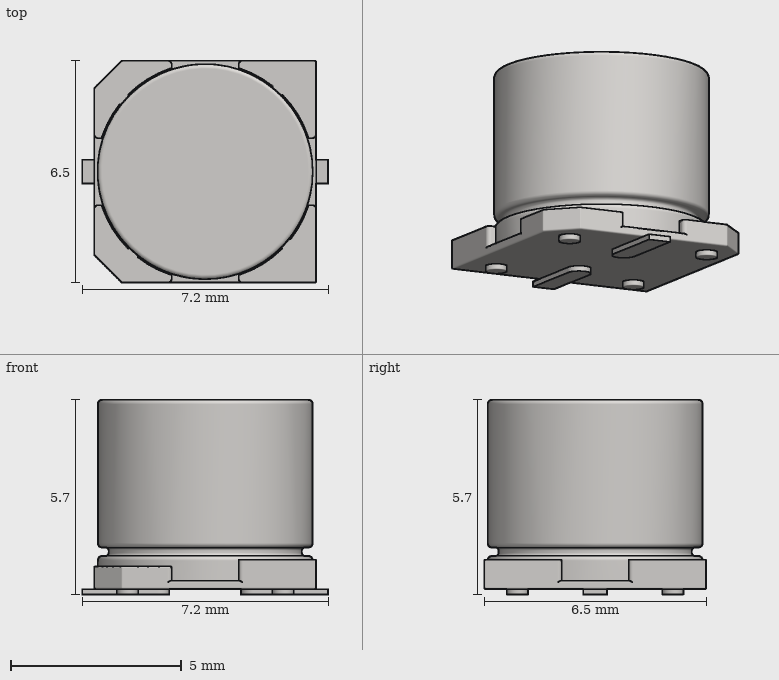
import cadquery as cq
import math

LENGTH = 7.2
BASE_SIDE = 6.5
HEIGHT = 5.7

FOOT_HEIGHT = 0.16
LEAD_WIDTH = 0.7
LEAD_INNER_END = 1.045
PEG_DIAMETER = 0.63
PEG_OFFSET = 2.275
PEG_ROUND = 0.02

FLOOR_Z = 0.4
LOW_POST_Z = 0.82
HIGH_POST_Z = 1.02
CORNER_CHAMFER = 0.81
NOTCH_WIDTH = 1.96
NOTCH_ROUND = 0.12
EDGE_ROUND = 0.05
POST_TOP_ROUND = 0.035

CAN_DIAMETER = 6.3
GROOVE_DIAMETER = 5.67
RIM_ROUND = 0.13
GROOVE_CENTER_Z = 1.25
GROOVE_FLAT = 0.06
GROOVE_ROUND = 0.09

half_side = BASE_SIDE / 2
can_radius = CAN_DIAMETER / 2
groove_radius = GROOVE_DIAMETER / 2


def make_slab():
    """Square floor of the base with the two -X corners cut off."""
    slab = (
        cq.Workplane("XY")
        .workplane(offset=FOOT_HEIGHT)
        .rect(BASE_SIDE, BASE_SIDE)
        .extrude(FLOOR_Z - FOOT_HEIGHT)
    )
    slab = slab.edges("|Z and <X").chamfer(CORNER_CHAMFER)
    slab = slab.edges("|Z").fillet(EDGE_ROUND)
    return slab.faces("<Z or >Z").edges().fillet(EDGE_ROUND)


def make_post(top_z, chamfered):
    """Corner post in the +X +Y quadrant, hollowed to hug the can."""
    post_bottom_z = (FOOT_HEIGHT + FLOOR_Z) / 2
    wall = NOTCH_WIDTH / 2
    bore_end = math.sqrt(can_radius**2 - wall**2)
    bore_middle = can_radius / math.sqrt(2)
    round_start = half_side - NOTCH_ROUND
    round_end = wall + NOTCH_ROUND
    chamfer_start = half_side - CORNER_CHAMFER

    outline = (
        cq.Workplane("XY")
        .workplane(offset=post_bottom_z)
        .moveTo(wall, bore_end)
        .lineTo(wall, round_start)
        .radiusArc((round_end, half_side), NOTCH_ROUND)
    )
    if chamfered:
        outline = outline.lineTo(chamfer_start, half_side).lineTo(half_side, chamfer_start)
    else:
        outline = outline.lineTo(half_side, half_side)
    outline = (
        outline.lineTo(half_side, round_end)
        .radiusArc((round_start, wall), NOTCH_ROUND)
        .lineTo(bore_end, wall)
        .threePointArc((bore_middle, bore_middle), (wall, bore_end))
        .close()
    )
    post = outline.extrude(top_z - post_bottom_z)
    post = post.edges("|Z").edges(">(1, 1, 0)").fillet(EDGE_ROUND)
    return post.faces(">Z").edges().fillet(POST_TOP_ROUND)


def make_can():
    """Round can with a rounded top rim and a beaded groove near the base."""
    flat_top = GROOVE_CENTER_Z + GROOVE_FLAT / 2
    flat_bottom = GROOVE_CENTER_Z - GROOVE_FLAT / 2
    groove_top = flat_top + GROOVE_ROUND
    groove_bottom = flat_bottom - GROOVE_ROUND
    lip_radius = can_radius - RIM_ROUND
    root_radius = groove_radius + GROOVE_ROUND
    profile = (
        cq.Workplane("XZ")
        .moveTo(0, FOOT_HEIGHT + EDGE_ROUND)
        .lineTo(can_radius, FOOT_HEIGHT + EDGE_ROUND)
        .lineTo(can_radius, groove_bottom - RIM_ROUND)
        .radiusArc((lip_radius, groove_bottom), -RIM_ROUND)
        .lineTo(root_radius, groove_bottom)
        .radiusArc((groove_radius, flat_bottom), GROOVE_ROUND)
        .lineTo(groove_radius, flat_top)
        .radiusArc((root_radius, groove_top), GROOVE_ROUND)
        .lineTo(lip_radius, groove_top)
        .radiusArc((can_radius, groove_top + RIM_ROUND), -RIM_ROUND)
        .lineTo(can_radius, HEIGHT - RIM_ROUND)
        .radiusArc((lip_radius, HEIGHT), -RIM_ROUND)
        .lineTo(0, HEIGHT)
        .close()
    )
    return profile.revolve(360, (0, 0, 0), (0, 1, 0))


def make_lead():
    """Flat lead on the +X side with a round inner end."""
    round_center = LEAD_INNER_END + LEAD_WIDTH / 2
    bar_length = LENGTH / 2 - round_center
    bar = cq.Workplane("XY").box(bar_length, LEAD_WIDTH, FOOT_HEIGHT, centered=(False, True, False))
    bar = bar.translate((round_center, 0, 0))
    inner_end = cq.Workplane("XY").center(round_center, 0).circle(LEAD_WIDTH / 2).extrude(FOOT_HEIGHT)
    return bar.union(inner_end)


def make_pegs():
    """Four round standoffs under the corners, each with a rounded bottom edge."""
    return (
        cq.Workplane("XY")
        .rect(2 * PEG_OFFSET, 2 * PEG_OFFSET, forConstruction=True)
        .vertices()
        .circle(PEG_DIAMETER / 2)
        .extrude(FOOT_HEIGHT)
        .faces("<Z")
        .edges()
        .fillet(PEG_ROUND)
    )


high_post = make_post(HIGH_POST_Z, chamfered=False)
low_post = make_post(LOW_POST_Z, chamfered=True).mirror("YZ")
lead = make_lead()

result = make_slab()
for post in (high_post, low_post):
    result = result.union(post).union(post.mirror("XZ"))
result = result.union(make_can())
result = result.union(lead).union(lead.mirror("YZ")).union(make_pegs())